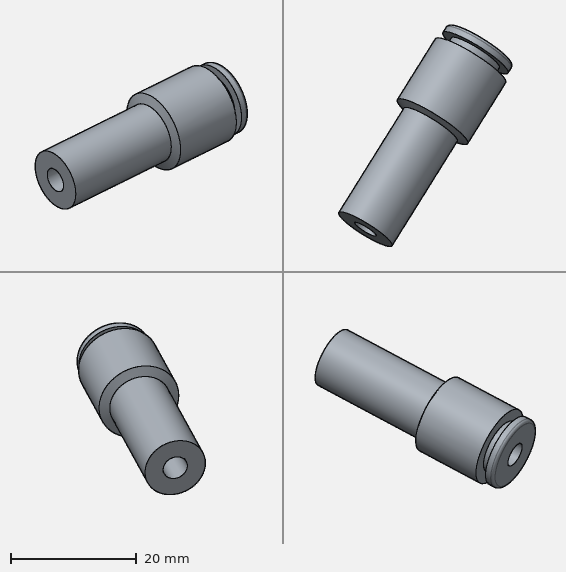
import cadquery as cq
import math

stem_diameter = 10.0
body_diameter = 13.2
neck_diameter = 9.0
collar_diameter = 12.2
bore_diameter = 4.0

total_length = 35.1
stem_length = 19.9
neck_length = 1.5
collar_length = 1.5
collar_edge_radius = 0.5

shoulder_angle = 20.0
shoulder_step = (body_diameter - stem_diameter) / 2
shoulder_length = shoulder_step * math.tan(math.radians(shoulder_angle))

shoulder_end = stem_length + shoulder_length
collar_start = total_length - collar_length
neck_start = collar_start - neck_length


def cylinder(diameter, start, end):
    """Cylinder on the Y axis between two stations."""
    return cq.Workplane("XZ", origin=(0, start, 0)).circle(diameter / 2).extrude(start - end)


def make_body():
    """Stem, conical shoulder and wide body, turned about the Y axis."""
    stem_radius = stem_diameter / 2
    body_radius = body_diameter / 2
    profile = (
        cq.Workplane("XY")
        .lineTo(stem_radius, 0)
        .lineTo(stem_radius, stem_length)
        .lineTo(body_radius, shoulder_end)
        .lineTo(body_radius, neck_start)
        .lineTo(0, neck_start)
        .close()
    )
    return profile.revolve(360, (0, 0, 0), (0, 1, 0))


def make_release_collar():
    """Neck and collar with a rounded outer edge."""
    neck = cylinder(neck_diameter, neck_start, collar_start)
    collar = cylinder(collar_diameter, collar_start, total_length)
    collar = collar.faces(">Y").edges().fillet(collar_edge_radius)
    return neck.union(collar)


bore = cylinder(bore_diameter, 0, total_length)
result = make_body().union(make_release_collar()).cut(bore)